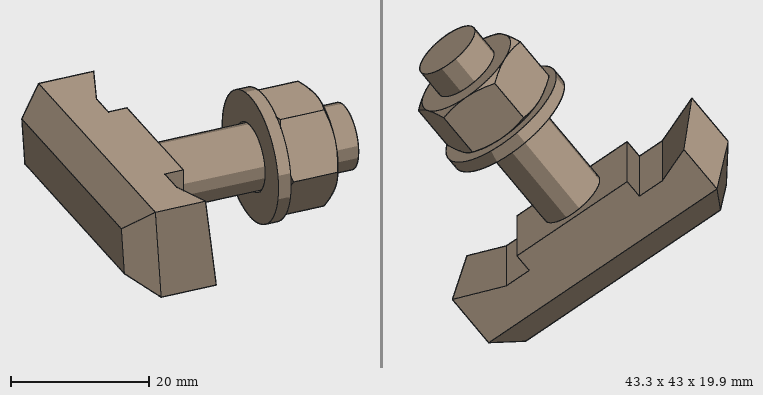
import cadquery as cq
import math

total_length = 43.0
shank_diameter = 10.0

head_span = 43.3
head_height = 13.08
head_slant = 2.05
head_depth = 13.0
taper_depth = 4.25
taper_side_inset = 3.05
front_face_height = 6.93

seat_width = 19.9
relief_depth = 2.95
relief_floor_span = 28.2

washer_diameter = 19.95
washer_bore = 10.5
washer_thickness = 2.0
nut_across_flats = 15.98
nut_height = 8.35
nut_tip_protrusion = 4.6
nut_chamfer_angle = 30.0
nut_face_diameter = nut_across_flats

nut_end = total_length - nut_tip_protrusion
nut_start = nut_end - nut_height
washer_start = nut_start - washer_thickness
slant_ratio = head_slant / head_height


def plane_at(y):
    """Plane across the bolt axis, with local x = X, local y = Z and its normal along -Y."""
    return cq.Workplane("XZ", origin=(0, y, 0))


def cylinder(diameter, start, length):
    return plane_at(start).circle(diameter / 2).extrude(-length)


def slanted_outline(mid_width, height):
    """Corners of a parallelogram whose ends lean towards +X at the bottom."""
    half_width = mid_width / 2
    half_height = height / 2
    lean = slant_ratio * half_height
    return [
        (-half_width - lean, half_height),
        (half_width - lean, half_height),
        (half_width + lean, -half_height),
        (-half_width + lean, -half_height),
    ]


def make_head():
    mid_width = head_span - head_slant
    full_outline = slanted_outline(mid_width, head_height)
    front_outline = slanted_outline(mid_width - 2 * taper_side_inset, front_face_height)
    bar = plane_at(taper_depth).polyline(full_outline).close().extrude(taper_depth - head_depth)
    taper = (
        plane_at(taper_depth).polyline(full_outline).close()
        .workplane(offset=taper_depth).polyline(front_outline).close()
        .loft(ruled=True)
    )
    return bar.union(taper)


def make_relief():
    """Cutter for the right-hand relief: a step beside the seat, a flat floor and a ramp to the end."""
    floor = head_depth - relief_depth
    return (
        cq.Workplane("XY")
        .moveTo(seat_width / 2, head_depth)
        .lineTo(seat_width / 2, floor)
        .lineTo(relief_floor_span / 2, floor)
        .lineTo(head_span / 2, head_depth)
        .close()
        .extrude(head_height / 2, both=True)
    )


def make_bolt():
    relief = make_relief()
    head = make_head().cut(relief).cut(relief.mirror("YZ"))
    return head.union(cylinder(shank_diameter, head_depth, total_length - head_depth))


def make_washer():
    disc = cylinder(washer_diameter, washer_start, washer_thickness)
    return disc.cut(cylinder(washer_bore, washer_start, washer_thickness))


def make_nut():
    across_corners = nut_across_flats / math.cos(math.pi / 6)
    corner_radius = across_corners / 2
    face_radius = nut_face_diameter / 2
    chamfer_length = (corner_radius - face_radius) * math.tan(math.radians(nut_chamfer_angle))
    hexagon = plane_at(nut_start).polygon(6, across_corners).extrude(-nut_height)
    blank = (
        cq.Workplane("XY")
        .moveTo(0, nut_start)
        .lineTo(face_radius, nut_start)
        .lineTo(corner_radius, nut_start + chamfer_length)
        .lineTo(corner_radius, nut_end - chamfer_length)
        .lineTo(face_radius, nut_end)
        .lineTo(0, nut_end)
        .close()
        .revolve(360, (0, 0, 0), (0, 1, 0))
    )
    return hexagon.intersect(blank).cut(cylinder(shank_diameter, nut_start, nut_height))


bolt = make_bolt()
washer = make_washer()
nut = make_nut()

result = cq.Compound.makeCompound([bolt.val(), washer.val(), nut.val()])